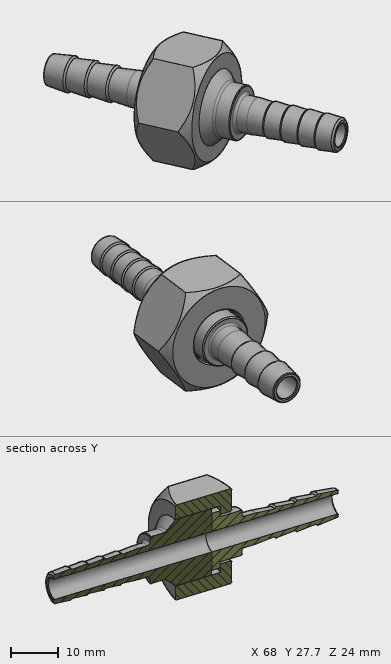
import cadquery as cq
import math

LENGTH = 68.0
BORE_D = 5.0
BORE_CHAMFER = 0.2
NECK_D = 8.0

LEFT_BARBS = 3
LEFT_BARB_PITCH = 5.0
LEFT_CREST_X = 4.9
LEFT_ROOT_D = 7.15
LEFT_TIP_D = 6.5
LEFT_TIP_CHAMFER = 0.2
BARB_STEP = 0.4
LEFT_COLLAR_X = 22.9
LEFT_COLLAR_D = 11.5
LEFT_COLLAR_CHAMFER = 0.3
LEFT_FILLET = 0.4
FLANGE_D = 14.5
FLANGE_LENGTH = 2.05

NUT_X = 25.4
NUT_LENGTH = 13.5
NUT_FLATS = 24.0
NUT_FACE_D = 23.4
NUT_WALL = 2.7
NUT_HOLE_D = 12.3
NUT_HOLE_CHAMFER = 0.35
SOCKET_D = 16.6

RIGHT_BARBS = 4
RIGHT_BARB_PITCH = 4.0
RIGHT_ROOT_D = 7.5
RIGHT_TIP_CHAMFER = 0.4
RIGHT_COLLAR_X = 44.95
RIGHT_COLLAR_D = 12.0
RIGHT_COLLAR_CHAMFER = 0.2
RIGHT_FILLET = 0.6
CONE_BLEND_R = 0.9

NUT_END_X = NUT_X + NUT_LENGTH
FLANGE_X = NUT_X + NUT_WALL
JOINT_X = FLANGE_X + FLANGE_LENGTH


def revolve_x(profile):
    """Close a radius-over-X profile and revolve it about the X axis."""
    return profile.close().revolve(360, (0, 0, 0), (1, 0, 0))


def cut_bore(body, start, end, mouth, inward):
    """Drill the through bore and chamfer its mouth; inward is +1 or -1 along X."""
    bore_r = BORE_D / 2
    bore = cq.Workplane("YZ", origin=(start, 0, 0)).circle(bore_r).extrude(end - start)
    mouth_cone = revolve_x(
        cq.Workplane("XY")
        .moveTo(mouth, 0)
        .lineTo(mouth, bore_r + BORE_CHAMFER)
        .lineTo(mouth + inward * BORE_CHAMFER, bore_r)
        .lineTo(mouth + inward * BORE_CHAMFER, 0)
    )
    return body.cut(bore).cut(mouth_cone)


def make_left_tail():
    neck_r = NECK_D / 2
    collar_r = LEFT_COLLAR_D / 2
    tip_r = LEFT_TIP_D / 2
    profile = (
        cq.Workplane("XY")
        .moveTo(0, 0)
        .lineTo(0, tip_r)
        .lineTo(LEFT_TIP_CHAMFER, tip_r + LEFT_TIP_CHAMFER)
    )
    for i in range(LEFT_BARBS):
        crest_x = LEFT_CREST_X + i * LEFT_BARB_PITCH
        profile = profile.lineTo(crest_x, neck_r).lineTo(crest_x + BARB_STEP, LEFT_ROOT_D / 2)
    neck_x = LEFT_CREST_X + LEFT_BARBS * LEFT_BARB_PITCH
    profile = (
        profile.lineTo(neck_x, neck_r)
        .lineTo(LEFT_COLLAR_X - LEFT_FILLET, neck_r)
        .radiusArc((LEFT_COLLAR_X, neck_r + LEFT_FILLET), -LEFT_FILLET)
        .lineTo(LEFT_COLLAR_X, collar_r - LEFT_COLLAR_CHAMFER)
        .lineTo(LEFT_COLLAR_X + LEFT_COLLAR_CHAMFER, collar_r)
        .lineTo(FLANGE_X, collar_r)
        .lineTo(FLANGE_X, FLANGE_D / 2)
        .lineTo(JOINT_X, FLANGE_D / 2)
        .lineTo(JOINT_X, 0)
    )
    return cut_bore(revolve_x(profile), 0, JOINT_X, 0, 1)


def make_nut():
    corner_d = NUT_FLATS / math.cos(math.pi / 6)
    chamfer = (corner_d - NUT_FACE_D) / 2
    hexagon = cq.Workplane("YZ", origin=(NUT_X, 0, 0)).polygon(6, corner_d).extrude(NUT_LENGTH)
    corner_envelope = (
        cq.Workplane("YZ", origin=(NUT_X, 0, 0))
        .circle(corner_d / 2)
        .extrude(NUT_LENGTH)
        .edges()
        .chamfer(chamfer)
    )
    hole_r = NUT_HOLE_D / 2
    opening = revolve_x(
        cq.Workplane("XY")
        .moveTo(NUT_X, 0)
        .lineTo(NUT_X, hole_r + NUT_HOLE_CHAMFER)
        .lineTo(NUT_X + NUT_HOLE_CHAMFER, hole_r)
        .lineTo(FLANGE_X, hole_r)
        .lineTo(FLANGE_X, SOCKET_D / 2)
        .lineTo(NUT_END_X, SOCKET_D / 2)
        .lineTo(NUT_END_X, 0)
    )
    return hexagon.intersect(corner_envelope).cut(opening)


def make_right_tail():
    neck_r = NECK_D / 2
    root_r = RIGHT_ROOT_D / 2
    collar_r = RIGHT_COLLAR_D / 2
    plug_r = SOCKET_D / 2
    blend_rise = CONE_BLEND_R * (1 - math.cos(math.pi / 4))
    blend_start_r = collar_r + blend_rise
    blend_start_x = NUT_END_X + plug_r - blend_start_r
    blend_end_x = blend_start_x + CONE_BLEND_R * math.sin(math.pi / 4)
    first_crest_x = LENGTH - RIGHT_BARBS * RIGHT_BARB_PITCH
    profile = (
        cq.Workplane("XY")
        .moveTo(JOINT_X, 0)
        .lineTo(JOINT_X, plug_r)
        .lineTo(NUT_END_X, plug_r)
        .lineTo(blend_start_x, blend_start_r)
        .radiusArc((blend_end_x, collar_r), -CONE_BLEND_R)
        .lineTo(RIGHT_COLLAR_X - RIGHT_COLLAR_CHAMFER, collar_r)
        .lineTo(RIGHT_COLLAR_X, collar_r - RIGHT_COLLAR_CHAMFER)
        .lineTo(RIGHT_COLLAR_X, neck_r + RIGHT_FILLET)
        .radiusArc((RIGHT_COLLAR_X + RIGHT_FILLET, neck_r), -RIGHT_FILLET)
        .lineTo(first_crest_x - RIGHT_BARB_PITCH, neck_r)
    )
    for i in range(RIGHT_BARBS):
        crest_x = first_crest_x + i * RIGHT_BARB_PITCH
        profile = profile.lineTo(crest_x - BARB_STEP, root_r).lineTo(crest_x, neck_r)
    profile = (
        profile.lineTo(LENGTH - RIGHT_TIP_CHAMFER, root_r)
        .lineTo(LENGTH, root_r - RIGHT_TIP_CHAMFER)
        .lineTo(LENGTH, 0)
    )
    return cut_bore(revolve_x(profile), JOINT_X, LENGTH, LENGTH, -1)


left_tail = make_left_tail()
nut = make_nut()
right_tail = make_right_tail()

result = cq.Compound.makeCompound(
    [left_tail.solids().val(), nut.solids().val(), right_tail.solids().val()]
)